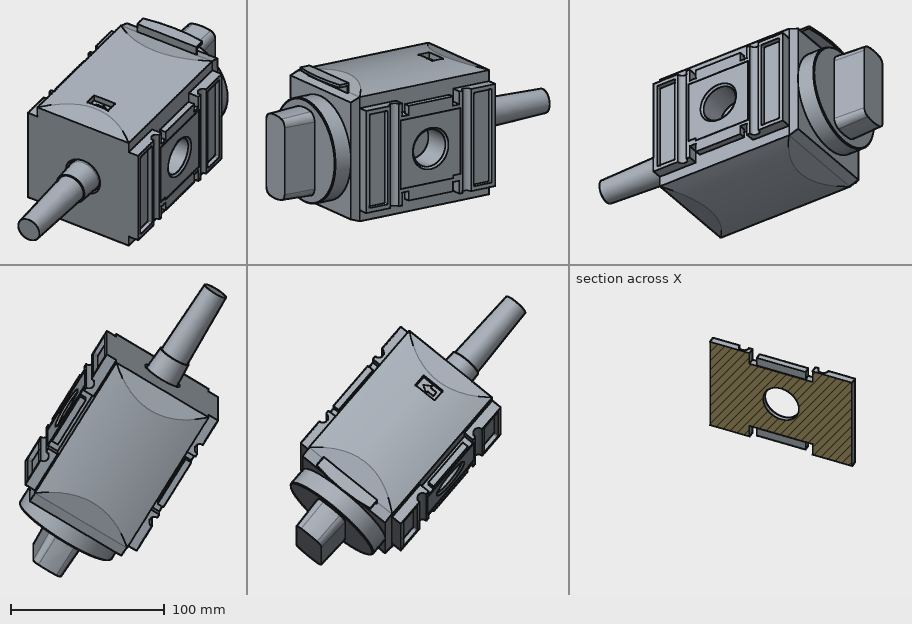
import cadquery as cq
import math


overall_length = 210.7

body_width = 85.0
body_length = 102.0
core_width = 70.4
core_height = 85.1
crown_height = 93.1
crown_slope = 15.0
flange_height = 70.0
front_y = -body_length / 2
back_y = body_length / 2
side_x = body_width / 2
core_x = core_width / 2

cap_width = 70.0
cap_length = 7.0
cap_slope = 20.0
collar_radius = core_x
collar_length = 12.6
collar_chamfer = 0.6
cap_back_y = back_y + cap_length
collar_back_y = cap_back_y + collar_length

knob_back_y = 93.5
knob_width = 21.3
knob_height = 57.3
knob_edge_radius = 5.0
knob_draft = 2.5

spigot_end_y = knob_back_y - overall_length
spigot_step_y = -66.2
spigot_root_radius = 11.5
spigot_collar_radius = 10.7
spigot_neck_radius = 10.0
spigot_end_radius = 8.2

bore_radius = 12.0
bore_chamfer = 1.3
bore_depth = 6.3

port_radius = 12.6
port_chamfer = 1.5
port_depth = 21.0

pad_size = 47.0
pad_depth = 0.2
pad_step_length = 5.7
pad_step_height = 2.0

groove_y = 28.5
groove_radius = 3.4
groove_inset = 0.2
pocket_y = 41.0
pocket_length = 14.1
pocket_height = 64.0
pocket_depth = 3.4
pocket_corner_radius = 0.8
relief_length = 45.0
relief_floor_z = 26.1
tab_length = 35.0
tab_top_z = 32.5
tab_thickness = 4.5

latch_width = 45.5
latch_thickness = 2.0
latch_wall = 1.0
latch_top_z = 48.9
latch_foot_z = 40.0
latch_front_y = 51.2
latch_corner_y = 58.4
latch_back_y = 60.5

window_length = 16.2
window_width = 8.5
window_y = -28.9
window_floor_z = 42.1
arrow_depth = 0.5
arrow_length = 10.0
arrow_shaft_width = 3.2
arrow_head_width = 6.1


def box(x_range, y_range, z_range):
    """Axis-aligned box between pairs of limits."""
    ranges = (x_range, y_range, z_range)
    sizes = [high - low for low, high in ranges]
    return cq.Workplane("XY").box(*sizes, centered=False).translate(tuple(low for low, _ in ranges))


def both_sides(solid):
    """A feature of one X side together with its mirror image on the other."""
    return solid.union(solid.mirror("YZ"))


def make_core():
    """Block with domed top and bottom, sloped down to its front and back edges."""
    corner_z = core_height / 2
    crown_z = crown_height / 2
    domed = (
        cq.Workplane("XZ", origin=(0, back_y, 0))
        .moveTo(-core_x, -corner_z)
        .threePointArc((0, -crown_z), (core_x, -corner_z))
        .lineTo(core_x, corner_z)
        .threePointArc((0, crown_z), (-core_x, corner_z))
        .close()
        .extrude(body_length)
    )
    slope_rise = body_length / 2 * math.tan(math.radians(crown_slope))
    side_outline = (
        cq.Workplane("YZ", origin=(-core_x, 0, 0))
        .polyline([
            (front_y, -corner_z),
            (0, -corner_z - slope_rise),
            (back_y, -corner_z),
            (back_y, corner_z),
            (0, corner_z + slope_rise),
            (front_y, corner_z),
        ])
        .close()
        .extrude(core_width)
    )
    return domed.intersect(side_outline)


def make_cap():
    """Tapered plate behind the block."""
    front_z = core_height / 2
    back_z = front_z - cap_length * math.tan(math.radians(cap_slope))
    return (
        cq.Workplane("YZ", origin=(-cap_width / 2, 0, 0))
        .polyline([(back_y, -front_z), (cap_back_y, -back_z), (cap_back_y, back_z), (back_y, front_z)])
        .close()
        .extrude(cap_width)
    )


def make_collar():
    """Round collar behind the cap, chamfered on its outer rim."""
    return (
        cq.Workplane("XZ", origin=(0, collar_back_y, 0))
        .circle(collar_radius)
        .extrude(collar_length)
        .faces(">Y")
        .chamfer(collar_chamfer)
    )


def make_knob():
    """Upright grip with round ends, growing by its draft towards the collar."""
    half_width = knob_width / 2
    end_z = knob_height / 2
    corner_z = math.sqrt(end_z**2 - half_width**2)
    outline = (
        cq.Sketch()
        .segment((half_width, -corner_z), (half_width, corner_z))
        .arc((half_width, corner_z), (0, end_z), (-half_width, corner_z))
        .segment((-half_width, corner_z), (-half_width, -corner_z))
        .arc((-half_width, -corner_z), (0, -end_z), (half_width, -corner_z))
        .assemble()
        .vertices()
        .fillet(knob_edge_radius)
    )
    return (
        cq.Workplane("XZ", origin=(0, knob_back_y, 0))
        .placeSketch(outline)
        .extrude(knob_back_y - collar_back_y, taper=-knob_draft)
    )


def make_spigot():
    """Two-stage tapered spigot, rooted in the floor of the front bore."""
    root_y = front_y + bore_depth
    return (
        cq.Workplane("YZ")
        .polyline([
            (root_y, 0),
            (root_y, spigot_root_radius),
            (front_y, spigot_root_radius),
            (spigot_step_y, spigot_collar_radius),
            (spigot_step_y, spigot_neck_radius),
            (spigot_end_y, spigot_end_radius),
            (spigot_end_y, 0),
        ])
        .close()
        .revolve(360, (0, 0, 0), (1, 0, 0))
    )


def make_hole(plane, origin, radius, chamfer, depth):
    """Blind round hole with a 45 degree countersunk mouth; the plane normal points out of the part."""
    mouth = radius + chamfer
    bore = cq.Workplane(plane, origin=origin).circle(radius).extrude(-depth)
    countersink = cq.Solid.makeCone(mouth, radius, chamfer, cq.Vector(*origin), bore.plane.zDir * -1)
    return bore.union(cq.Workplane(countersink))


def make_flange():
    """Raised slab on the -X side with its pad, grooves, pockets and tabs."""
    half_height = flange_height / 2
    half_relief = relief_length / 2
    half_tab = tab_length / 2
    slab = box((-side_x, -core_x), (front_y, back_y), (-half_height, half_height))

    relief = box((-side_x, -core_x), (-half_relief, half_relief), (relief_floor_z, half_height))
    slab = slab.cut(relief).cut(relief.mirror("XY"))
    tab = box((-side_x, -side_x + tab_thickness), (-half_tab, half_tab), (relief_floor_z, tab_top_z))
    slab = slab.union(tab).union(tab.mirror("XY"))

    for end in (-1, 1):
        groove = (
            cq.Workplane("XY", origin=(-side_x + groove_inset, end * groove_y, -half_height))
            .circle(groove_radius)
            .extrude(flange_height)
        )
        pocket = (
            cq.Workplane("YZ", origin=(-side_x, end * pocket_y, 0))
            .rect(pocket_length, pocket_height)
            .extrude(pocket_depth)
            .edges("|X")
            .fillet(pocket_corner_radius)
        )
        slab = slab.cut(groove).cut(pocket)

    half_pad = pad_size / 2
    pad_x = (-side_x, -side_x + pad_depth)
    pad = box(pad_x, (-half_pad, half_pad), (-half_pad, half_pad))
    pad_step = box(pad_x, (-half_pad, -half_pad + pad_step_length), (-half_pad, -half_pad + pad_step_height))
    return slab.cut(pad.cut(pad_step))


def make_latch():
    """Angle plate: an upright wall and a rearward lip with a bowed back edge."""
    half_width = latch_width / 2
    lip = (
        cq.Workplane("XY", origin=(0, 0, latch_top_z - latch_thickness))
        .moveTo(-half_width, latch_front_y)
        .lineTo(half_width, latch_front_y)
        .lineTo(half_width, latch_corner_y)
        .threePointArc((0, latch_back_y), (-half_width, latch_corner_y))
        .close()
        .extrude(latch_thickness)
    )
    wall = box(
        (-half_width, half_width),
        (latch_front_y, latch_front_y + latch_wall),
        (latch_foot_z, latch_top_z),
    )
    return lip.union(wall)


def make_window():
    """Rectangular recess in the crown, with a shallow arrow sunk in its floor, pointing to +X."""
    half_length = arrow_length / 2
    half_shaft = arrow_shaft_width / 2
    half_head = arrow_head_width / 2
    floor = cq.Workplane("XY", origin=(0, window_y, window_floor_z))
    arrow = (
        floor.polyline([
            (-half_length, -half_shaft),
            (0, -half_shaft),
            (0, -half_head),
            (half_length, 0),
            (0, half_head),
            (0, half_shaft),
            (-half_length, half_shaft),
        ])
        .close()
        .extrude(-arrow_depth)
    )
    recess = floor.rect(window_length, window_width).extrude(crown_height / 2 - window_floor_z)
    return recess.union(arrow)


port = make_hole("YZ", (side_x - pad_depth, 0, 0), port_radius, port_chamfer, port_depth)
front_bore = make_hole("XZ", (0, front_y, 0), bore_radius, bore_chamfer, bore_depth)

result = (
    make_core()
    .union(both_sides(make_flange()))
    .cut(both_sides(port))
    .cut(front_bore)
    .cut(make_window())
    .union(make_cap())
    .union(make_collar())
    .union(make_knob())
    .union(make_spigot())
    .union(make_latch())
)